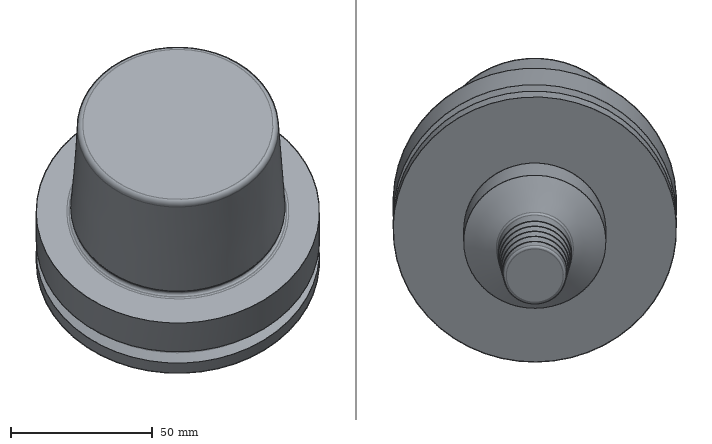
import cadquery as cq
import math

total_height = 124.9
flange_top = 75.0
flange_bottom = 46.1
boss_bottom = 33.8
ring_top = 20.1

flange_diameter = 100.0
flange_radius = flange_diameter / 2
boss_radius = 25.1
nozzle_radius = 13.0
nozzle_tip_radius = 11.0
shoulder_angle = math.radians(30)

shank_base_radius = 37.8
shank_base = 77.5
shank_slope = 0.05
shank_end_radius = shank_base_radius - shank_slope * (total_height - shank_base)
shank_end_fillet = 2.0

neck_radius = 37.2
neck_top = shank_base - 0.6
collar_inner_radius = 38.5
collar_outer_radius = 39.2
collar_height = 0.1
neck_fillet = 1.1

groove_radius = 46.0
groove_upper_edge = 58.5
groove_lower_edge = 52.0
groove_side_angle = math.radians(22)
groove_depth = flange_radius - groove_radius
groove_floor_top = groove_upper_edge - groove_depth * math.tan(groove_side_angle)
groove_floor_bottom = groove_lower_edge + groove_depth * math.tan(groove_side_angle)
groove_fillet = 0.9

shoulder_bottom = boss_bottom - (boss_radius - nozzle_radius) * math.tan(shoulder_angle)
shoulder_fillet = 1.2
nozzle_tip_fillet = 1.0
ring_count = 5
ring_pitch = 4.0
ring_step = 0.1
ring_slope = (nozzle_radius - nozzle_tip_radius - ring_count * ring_step) / ring_top


def round_edge(body, radius, level, fillet):
    """Fillet the circular edge of the given radius at the given level."""
    tolerance = 0.001
    circles = [
        edge
        for edge in body.edges("%CIRCLE").vals()
        if abs(edge.radius() - radius) < tolerance and abs(edge.Center().z - level) < tolerance
    ]
    return body.newObject(circles).fillet(fillet)


def ring_points():
    """Return the stepped, tapered nozzle wall, from the lowest ring upwards."""
    points = []
    for ring in reversed(range(ring_count)):
        level = ring_top - ring * ring_pitch
        outer_radius = nozzle_radius - ring * ring_step - ring_slope * (ring_top - level)
        points.append((outer_radius - ring_step, level))
        points.append((outer_radius, level))
    return points


half_section = [
    (0, 0),
    (nozzle_tip_radius, 0),
    *ring_points(),
    (nozzle_radius, shoulder_bottom),
    (boss_radius, boss_bottom),
    (boss_radius, flange_bottom),
    (flange_radius, flange_bottom),
    (flange_radius, groove_lower_edge),
    (groove_radius, groove_floor_bottom),
    (groove_radius, groove_floor_top),
    (flange_radius, groove_upper_edge),
    (flange_radius, flange_top),
    (collar_outer_radius, flange_top),
    (collar_inner_radius, flange_top + collar_height),
    (neck_radius, flange_top + collar_height),
    (neck_radius, neck_top),
    (shank_base_radius, shank_base),
    (shank_end_radius, total_height),
    (0, total_height),
]
body = cq.Workplane("XZ").polyline(half_section).close().revolve(360, (0, 0), (0, 1))

rounded_edges = [
    (nozzle_tip_radius, 0, nozzle_tip_fillet),
    (nozzle_radius, shoulder_bottom, shoulder_fillet),
    (groove_radius, groove_floor_bottom, groove_fillet),
    (groove_radius, groove_floor_top, groove_fillet),
    (neck_radius, flange_top + collar_height, neck_fillet),
    (shank_end_radius, total_height, shank_end_fillet),
]
for edge_radius, edge_level, edge_fillet in rounded_edges:
    body = round_edge(body, edge_radius, edge_level, edge_fillet)

result = body